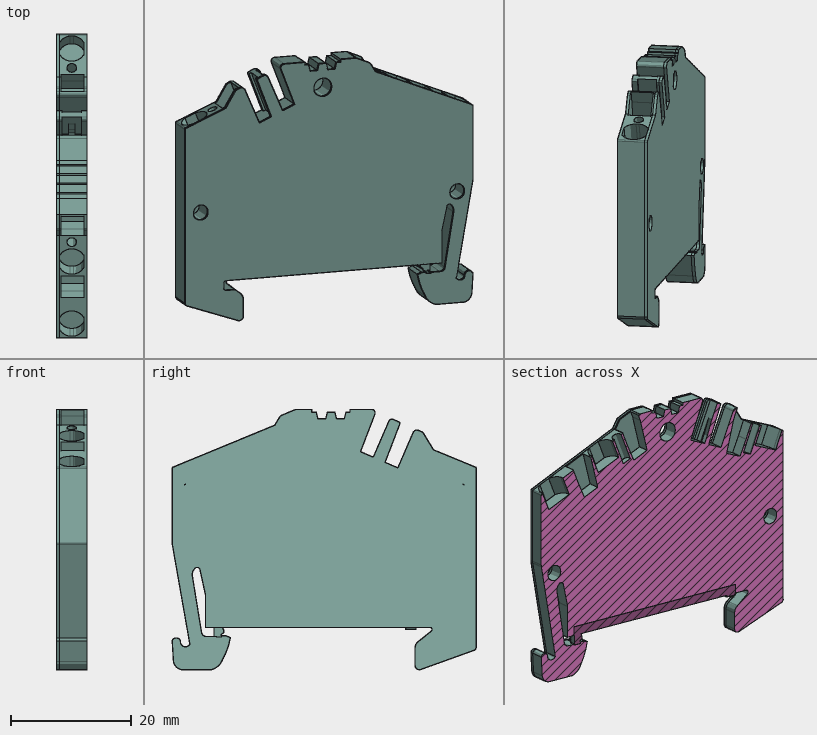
import cadquery as cq
import math


length = 50.5
height = 43.25
thickness = 5.1
cover_thickness = 0.5
half_length = length / 2
cover_x = -thickness / 2
housing_x = cover_x + cover_thickness
housing_thickness = thickness - cover_thickness

eave_z = 33.6
roof_angle = 22.4
rear_roof_end_y = 18.15
front_roof_end_y = -8.25
shoulder_y = -7.25
shoulder_z = 42.15
top_front_y = -4.75
shoulder_radius = 0.7
eave_radius = 0.25

slot_angle = 23.4
slot_width = 2.25
slot_pitch = 4.45
slot_front_draft = 2.4
slot_floor_y = 11.15
slot_floor_z = 34.0
rear_fin_foot_width = 1.45
fin_height = 7.05
rear_fin_radius = 0.7
fin_front_radius = 0.55
fin_rear_radius = 0.3
block_corner_radius = 0.6

marker_rear_y = 4.25
marker_front_y = -2.05
marker_z = 42.75
groove_floor_z = 41.65
groove_top_width = 1.8
groove_floor_width = 1.25
groove_ys = (2.7, -0.4)

base_z = 7.0
hook_y = 15.05
hook_radius = 0.75
heel_y = 25.05
heel_z = 3.3
lever_top_z = 20.9
lever_top_radius = 1.75

lever_foot = (-22.3, 4.25)
valley_bottom = (-23.05, 3.85)
valley_front = (-23.85, 4.5)
lip_top = (-24.5, 5.3)
lip_front = (-half_length, 4.8)
toe_top = (-25.05, 1.4)
toe_middle = (-24.6, 0.5)
toe_bottom = (-23.7, 0)
sole_end = (-18.75, 0)
sole_bend = (-17.75, 0.5)
jaw_start = (-16.9, 1.55)
jaw_middle = (-16.05, 3.45)
jaw_tip = (-15.55, 5.35)
jaw_top_y = -16.3
jaw_top_z = 5.65

foot_top_z = 5.55
foot_top_end_y = -19.5
inner_bend = (-20.05, 5.7)
inner_start = (-20.35, 6.25)
gap_front = (-21.85, 15.55)
gap_front_bend = (-21.7, 16.45)
gap_top_front_y = -21.25
gap_top_rear_y = -21.0
gap_top_z = 16.95
gap_rear_bend = (-20.75, 16.85)
gap_rear = (-20.65, 16.65)
gap_bend_z = 12.5
base_front_y = -19.75

cover_notch_y = 18.5
cover_notch_z = 5.35
cover_notch_end_y = 16.45
cover_notch_rounding = 0.3
cover_notch_floor_rounding = 0.45
housing_notch_y = 17.7
housing_notch_bend = (17.9, 6.7)
housing_notch_end = (17.75, 6.4)

hook_shoulder = (15.65, 4.75)
hook_shoulder_bend = (15.2, 4.25)
hook_shoulder_end_z = 3.6
hook_tip_bend = (15.35, 0.15)
hook_tip_end = (16.05, 0.05)
heel_rise = 0.4

pin_holes = ((1.1, 38.75, 3.15), (22.5, 19.05, 2.6), (-22.45, 19.05, 2.6))
pin_hole_floor = 0.5
pin_hole_depth = thickness - pin_hole_floor

wire_hole_radius = 2.25
wire_hole_half_width = -housing_x
wire_hole_flat = 0.5
wire_hole_depth = 3.45
test_hole_offset = 3.5
test_hole_diameter = 1.55
test_hole_depth = 5.05
pocket_low = 4.7
pocket_high = 8.55
pocket_x_min = -1.75
pocket_x_max = 2.05
pocket_straight_depth = 2.8
pocket_depth = 5.75
low_wall_draft = 2.0
high_wall_draft = 8.0
mouth_clearance = 2.5
outer_wire_y = 22.85
inner_wire_y = 12.5

relief_width = 3.2
front_relief_depth = 0.55
rear_relief_depth = 0.4
keyway_width = 1.1
keyway_top = 4.15
keyway_ramp_end = 1.4
keyway_depth = 0.2

contact_thickness = 1.5
contact_bar_height = 1.5
contact_nub_rear_y = 15.25
contact_nub_front_y = 13.5
contact_nub_z = 6.7
tooth_rear_y = -16.85
tooth_bulge_y = -16.65
tooth_tip_y = -17.05
tooth_bulge_top_z = 6.55
tooth_bulge_bottom_z = 6.15
tooth_neck_z = 5.85
tooth_front_y = -18.35
tooth_seat_y = -17.9
tooth_tip_z = 5.4


def slot_point(across, up):
    """A Y, Z point in the slot frame: across runs to -Y, up runs out of the slots."""
    angle = math.radians(slot_angle)
    y = slot_floor_y - across * math.cos(angle) + up * math.sin(angle)
    z = slot_floor_z + across * math.sin(angle) + up * math.cos(angle)
    return (y, z)


def roof_z(y):
    """Height of the straight roof at a distance abs(y) from the middle."""
    return eave_z + (half_length - abs(y)) * math.tan(math.radians(roof_angle))


slot_half = slot_width / 2
fin_rear = slot_half
fin_front = slot_pitch - slot_half
slot_front = slot_pitch + slot_half
draft_slope = math.tan(math.radians(slot_front_draft))
fin_rear_top = fin_rear + fin_height * draft_slope
rear_fin_tip = slot_point(-slot_half, fin_height)
rear_fin_back = slot_point(-slot_half - rear_fin_foot_width, fin_height)
fin_tip_rear = slot_point(fin_rear_top, fin_height)
fin_tip_front = slot_point(fin_front, fin_height)
block_foot = slot_point(slot_front, 0)
block_lean = math.tan(math.radians(slot_angle - slot_front_draft))
block_corner = (block_foot[0] + (height - block_foot[1]) * block_lean, height)


def marker_groove(y):
    """The four outline points of one tapered marker groove, from +Y to -Y."""
    return [
        (y + groove_top_width / 2, marker_z),
        (y + groove_floor_width / 2, groove_floor_z),
        (y - groove_floor_width / 2, groove_floor_z),
        (y - groove_top_width / 2, marker_z),
    ]


def roof_points():
    """Outline from the rear eave over the top to the front eave."""
    points = [
        (half_length, eave_z),
        (rear_roof_end_y, roof_z(rear_roof_end_y)),
        rear_fin_back,
        rear_fin_tip,
        slot_point(-slot_half, 0),
        slot_point(slot_half, 0),
        fin_tip_rear,
        fin_tip_front,
        slot_point(fin_front, 0),
        block_foot,
        block_corner,
        (marker_rear_y, height),
        (marker_rear_y, marker_z),
    ]
    for y in groove_ys:
        points += marker_groove(y)
    points += [
        (marker_front_y, marker_z),
        (marker_front_y, height),
        (top_front_y, height),
        (shoulder_y, shoulder_z),
        (front_roof_end_y, roof_z(front_roof_end_y)),
        (-half_length, eave_z),
    ]
    return points


def add_sprung_foot(outline):
    """Outline from the front eave down the lever, round the foot and up to the base."""
    return (
        outline.lineTo(-half_length, lever_top_z)
        .lineTo(*lever_foot)
        .threePointArc(valley_bottom, valley_front)
        .threePointArc(lip_top, lip_front)
        .lineTo(*toe_top)
        .threePointArc(toe_middle, toe_bottom)
        .lineTo(*sole_end)
        .threePointArc(sole_bend, jaw_start)
        .threePointArc(jaw_middle, jaw_tip)
        .lineTo(jaw_top_y, jaw_top_z)
        .lineTo(tooth_tip_y, jaw_top_z)
        .lineTo(tooth_tip_y, tooth_tip_z)
        .lineTo(tooth_seat_y, tooth_tip_z)
        .lineTo(tooth_seat_y, foot_top_z)
        .lineTo(foot_top_end_y, foot_top_z)
        .threePointArc(inner_bend, inner_start)
        .lineTo(*gap_front)
        .threePointArc(gap_front_bend, (gap_top_front_y, gap_top_z))
        .lineTo(gap_top_rear_y, gap_top_z)
        .threePointArc(gap_rear_bend, gap_rear)
        .lineTo(base_front_y, gap_bend_z)
        .lineTo(base_front_y, base_z)
    )


def add_cover_notch(outline):
    """Wide, flat-bottomed notch above the hook."""
    top = cover_notch_rounding
    floor = cover_notch_floor_rounding
    arc_inset = 1 - math.sqrt(0.5)
    return (
        outline.lineTo(cover_notch_y - top, base_z)
        .threePointArc(
            (cover_notch_y - top * arc_inset, base_z - top * arc_inset),
            (cover_notch_y, base_z - top),
        )
        .lineTo(cover_notch_y, cover_notch_z + floor)
        .threePointArc(
            (cover_notch_y - floor * arc_inset, cover_notch_z + floor * arc_inset),
            (cover_notch_y - floor, cover_notch_z),
        )
        .lineTo(cover_notch_end_y, cover_notch_z)
    )


def add_housing_notch(outline):
    """Narrow, round-ended notch above the hook."""
    return outline.lineTo(housing_notch_y, base_z).threePointArc(housing_notch_bend, housing_notch_end)


def plate(add_notch, x, plate_thickness):
    """The block outline extruded along X, with its rounded corners."""
    outline = cq.Workplane("YZ", origin=(x, 0, 0)).polyline(roof_points())
    outline = add_notch(add_sprung_foot(outline))
    outline = (
        outline.lineTo(*hook_shoulder)
        .threePointArc(hook_shoulder_bend, (hook_y, hook_shoulder_end_z))
        .lineTo(hook_y, hook_radius)
        .threePointArc(hook_tip_bend, hook_tip_end)
        .lineTo(heel_y, heel_z)
        .lineTo(half_length, heel_z + heel_rise)
        .close()
    )
    body = outline.extrude(plate_thickness)
    roundings = (
        (rear_fin_back, rear_fin_radius),
        (rear_fin_tip, rear_fin_radius),
        (fin_tip_rear, fin_rear_radius),
        (fin_tip_front, fin_front_radius),
        (block_corner, block_corner_radius),
        ((shoulder_y, shoulder_z), shoulder_radius),
        ((half_length, eave_z), eave_radius),
        ((-half_length, eave_z), eave_radius),
        ((-half_length, lever_top_z), lever_top_radius),
    )
    for (y, z), radius in roundings:
        corner = cq.selectors.NearestToPointSelector((x + plate_thickness / 2, y, z))
        body = body.edges("|X").edges(corner).fillet(radius)
    return body


def drill_pin_holes(body):
    """Remove the blind pin holes that start at the cover's outer face."""
    for y, z, diameter in pin_holes:
        start = cq.Workplane("YZ", origin=(cover_x, y, z))
        body = body.cut(start.circle(diameter / 2).extrude(pin_hole_depth))
    return body


def wire_hole():
    """Clipped round hole; local Y runs up the roof and local Z out of it."""
    flat_half = wire_hole_flat / 2
    flat_y = math.sqrt(wire_hole_radius**2 - flat_half**2)
    side_y = math.sqrt(wire_hole_radius**2 - wire_hole_half_width**2)
    arc_angle = math.radians(30)
    arc_x = wire_hole_radius * math.sin(arc_angle)
    arc_y = wire_hole_radius * math.cos(arc_angle)
    side_x = wire_hole_half_width
    return (
        cq.Workplane("XY", origin=(0, 0, -wire_hole_depth))
        .moveTo(-flat_half, flat_y)
        .lineTo(flat_half, flat_y)
        .threePointArc((arc_x, arc_y), (side_x, side_y))
        .lineTo(side_x, -side_y)
        .threePointArc((arc_x, -arc_y), (flat_half, -flat_y))
        .lineTo(-flat_half, -flat_y)
        .threePointArc((-arc_x, -arc_y), (-side_x, -side_y))
        .lineTo(-side_x, side_y)
        .threePointArc((-arc_x, arc_y), (-flat_half, flat_y))
        .close()
        .extrude(wire_hole_depth + mouth_clearance)
    )


def release_pocket():
    """Tapered screwdriver pocket, in the same local frame as the wire hole."""
    tapered_depth = pocket_depth - pocket_straight_depth
    low_floor = pocket_low + tapered_depth * math.tan(math.radians(low_wall_draft))
    high_floor = pocket_high - pocket_depth * math.tan(math.radians(high_wall_draft))
    return (
        cq.Workplane("YZ", origin=(pocket_x_min, 0, 0))
        .polyline([
            (pocket_low, mouth_clearance),
            (pocket_low, -pocket_straight_depth),
            (low_floor, -pocket_depth),
            (high_floor, -pocket_depth),
            (pocket_high, 0),
            (pocket_high, mouth_clearance),
        ])
        .close()
        .extrude(pocket_x_max - pocket_x_min)
    )


def test_hole():
    """Small round hole between the wire hole and the pocket."""
    start = cq.Workplane("XY", origin=(0, test_hole_offset, -test_hole_depth))
    return start.circle(test_hole_diameter / 2).extrude(test_hole_depth + mouth_clearance)


def wire_entry(distance, on_rear, has_test_hole):
    """All hollows of one wire entry, placed on the front or the rear roof."""
    entry = wire_hole().union(release_pocket())
    if has_test_hole:
        entry = entry.union(test_hole())
    entry = entry.rotate((0, 0, 0), (1, 0, 0), roof_angle)
    entry = entry.translate((0, -distance, roof_z(distance)))
    return entry.mirror("XZ") if on_rear else entry


def slot_frame_prism(points, width):
    """Prism centred on X whose profile is given in the slot frame."""
    start = cq.Workplane("YZ", origin=(-width / 2, 0, 0))
    return start.polyline([slot_point(across, up) for across, up in points]).close().extrude(width)


def relieve_fin(body):
    """Thin the middle of the fin on both sides and add the ramped keyway."""
    front_face = fin_front - front_relief_depth
    front_relief = [(front_face, 0), (fin_front, 0), (fin_front, fin_height), (front_face, fin_height)]
    rear_relief = [
        (fin_rear, 0),
        (fin_rear + rear_relief_depth, 0),
        (fin_rear_top + rear_relief_depth, fin_height),
        (fin_rear, fin_height),
    ]
    body = body.cut(slot_frame_prism(front_relief, relief_width))
    body = body.cut(slot_frame_prism(rear_relief, relief_width))
    keyway = [
        (front_face, 0),
        (front_face, keyway_top),
        (front_face - keyway_depth, keyway_ramp_end),
        (front_face - keyway_depth, 0),
    ]
    return body.cut(slot_frame_prism(keyway, keyway_width))


def make_rail_contact():
    """Flat bar in the base with a nub at the hook and a tooth over the sprung foot."""
    bar_top = base_z + contact_bar_height
    return (
        cq.Workplane("YZ", origin=(-contact_thickness / 2, 0, 0))
        .polyline([
            (contact_nub_rear_y, bar_top),
            (contact_nub_rear_y, contact_nub_z),
            (contact_nub_front_y, contact_nub_z),
            (contact_nub_front_y, base_z),
            (tooth_rear_y, base_z),
            (tooth_bulge_y, tooth_bulge_top_z),
            (tooth_bulge_y, tooth_bulge_bottom_z),
            (tooth_tip_y, tooth_neck_z),
            (tooth_tip_y, tooth_tip_z),
            (tooth_front_y, tooth_tip_z),
            (tooth_front_y, bar_top),
        ])
        .close()
        .extrude(contact_thickness)
    )


def make_cover():
    """Thin side plate."""
    return drill_pin_holes(plate(add_cover_notch, cover_x, cover_thickness))


def make_housing(rail_contact):
    """Main plate with the wire entries, the fin relief and the seat of the rail contact."""
    body = drill_pin_holes(plate(add_housing_notch, housing_x, housing_thickness))
    entries = (
        wire_entry(outer_wire_y, on_rear=False, has_test_hole=False),
        wire_entry(inner_wire_y, on_rear=False, has_test_hole=True),
        wire_entry(outer_wire_y, on_rear=True, has_test_hole=True),
    )
    for entry in entries:
        body = body.cut(entry)
    return relieve_fin(body).cut(rail_contact)


rail_contact = make_rail_contact()
cover = make_cover()
housing = make_housing(rail_contact)

result = cq.Compound.makeCompound([housing.val(), cover.val(), rail_contact.val()])